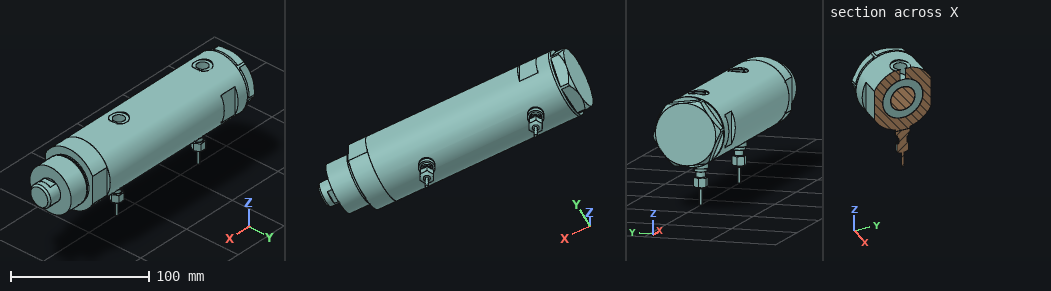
import cadquery as cq
import math


total_length = 209.0
total_height = 84.2
cap_hex_length = 9.2
cap_flange_thickness = 1.7
head_start = 160.7
head_shoulder = 176.6
nose_end = 196.7
barrel_start = cap_hex_length + cap_flange_thickness

outer_radius = 52.0 / 2
bore_radius = 32.0 / 2
head_spigot_radius = 21.5
rod_radius = 19.6 / 2

body_flat_width = 46.0
hex_sides = 6
barrel_flat_start = 21.1
barrel_flat_length = 15.0

cap_spigot_end = 35.0
head_spigot_start = 124.5

cap_chamfer_length = 2.7
cap_hex_turn = 8.0

nose_radius = 20.0
groove_radius = 18.8
groove_length = 1.7
groove_corner_size = 0.6
nose_chamfer_length = 1.0

rod_flat_width = 16.3
rod_flat_length = 6.3
rod_chamfer_length = 1.7
rod_chamfer_depth = 1.5

port_positions = [30.5, 121.9]
port_radius = 9.6 / 2
port_recess_radius = 15.0 / 2
port_recess_depth = 1.0

sensor_positions = [35.1, 124.4]
sensor_seat_z = -27.0
sensor_bottom_z = outer_radius - total_height
collar_radius = 12.0 / 2
collar_length = 3.8
shoulder_radius = 4.5
shoulder_length = 2.5
neck_radius = 7.0 / 2
neck_length = 4.0
nut_flat_width = 9.6
nut_length = 8.8
nut_top_radius = 4.2
nut_bottom_radius = 2.5
nut_chamfer_angle = 30.0
cable_radius = 2.3 / 2


def x_cylinder(radius, start, end):
    """Solid cylinder on the X axis between two X positions."""
    return cq.Workplane("YZ", origin=(start, 0, 0)).circle(radius).extrude(end - start)


def x_revolved(points):
    """Solid of revolution about X from (x, radius) points."""
    return cq.Workplane("XY").polyline(points).close().revolve(360, (0, 0, 0), (1, 0, 0))


def slab(start, end, y_width, z_width):
    """Box centred on the X axis, used to limit a turned shape to two flats."""
    length = end - start
    return cq.Workplane("XY").box(length, y_width, z_width).translate((start + length / 2, 0, 0))


def hex_corner_diameter(flat_width):
    return flat_width / math.cos(math.pi / hex_sides)


def with_flats(body, start, end, y_width, z_width):
    """Cut everything outside a centred slab between two X positions."""
    full_width = 2 * outer_radius
    waste = slab(start, end, full_width, full_width).cut(slab(start, end, y_width, z_width))
    return body.cut(waste)


def make_end_cap():
    """Chamfered hexagon cap with a round flange and a spigot in the barrel bore."""
    hexagon = (
        cq.Workplane("YZ")
        .polygon(hex_sides, hex_corner_diameter(body_flat_width))
        .extrude(cap_hex_length)
        .rotate((0, 0, 0), (1, 0, 0), -cap_hex_turn)
    )
    turned_envelope = x_revolved([
        (0, 0),
        (0, body_flat_width / 2),
        (cap_chamfer_length, outer_radius),
        (cap_hex_length, outer_radius),
        (cap_hex_length, 0),
    ])
    flange = x_cylinder(outer_radius, cap_hex_length, barrel_start)
    spigot = x_cylinder(bore_radius, barrel_start, cap_spigot_end)
    return hexagon.intersect(turned_envelope).union(flange).union(spigot)


def make_barrel():
    """Bored tube with wrench flats, two top ports and two sensor bosses."""
    barrel = x_cylinder(outer_radius, barrel_start, head_start)
    barrel = with_flats(
        barrel, barrel_flat_start, barrel_flat_start + barrel_flat_length, body_flat_width, 2 * outer_radius
    )

    for x in sensor_positions:
        boss = cq.Workplane("XY", origin=(x, 0, sensor_seat_z)).circle(collar_radius).extrude(-sensor_seat_z)
        barrel = barrel.union(boss)

    barrel = barrel.cut(x_cylinder(bore_radius, barrel_start, head_start))
    barrel = barrel.cut(x_cylinder(head_spigot_radius, head_spigot_start, head_start))

    for x in port_positions:
        port = cq.Workplane("XY", origin=(x, 0, 0)).circle(port_radius).extrude(outer_radius)
        recess = (
            cq.Workplane("XY", origin=(x, 0, outer_radius))
            .circle(port_recess_radius)
            .extrude(-port_recess_depth)
        )
        barrel = barrel.cut(port).cut(recess)
    return barrel


def make_head():
    """Rod guide: spigot in the barrel, flatted collar, groove and round nose."""
    groove_end = head_shoulder + groove_length
    head = x_revolved([
        (head_spigot_start, rod_radius),
        (head_spigot_start, head_spigot_radius),
        (head_start, head_spigot_radius),
        (head_start, outer_radius),
        (head_shoulder, outer_radius),
        (head_shoulder, groove_radius + groove_corner_size),
        (head_shoulder + groove_corner_size, groove_radius),
        (groove_end, groove_radius),
        (groove_end + nose_chamfer_length, nose_radius),
        (nose_end, nose_radius),
        (nose_end, rod_radius),
    ])
    return with_flats(head, head_start, head_shoulder, body_flat_width, 2 * outer_radius)


def make_rod():
    """Piston rod with two wrench flats and a chamfered end."""
    rod = x_revolved([
        (cap_spigot_end, 0),
        (cap_spigot_end, rod_radius),
        (total_length - rod_chamfer_length, rod_radius),
        (total_length, rod_radius - rod_chamfer_depth),
        (total_length, 0),
    ])
    return with_flats(rod, nose_end, nose_end + rod_flat_length, 2 * rod_radius, rod_flat_width)


def make_sensor(x):
    """Sensor with a stepped round body, a chamfered hexagon nut and a cable."""
    shoulder_z = sensor_seat_z - collar_length
    neck_z = shoulder_z - shoulder_length
    nut_top_z = neck_z - neck_length
    nut_bottom_z = nut_top_z - nut_length

    def step(radius, top_z, bottom_z):
        return cq.Workplane("XY", origin=(x, 0, top_z)).circle(radius).extrude(bottom_z - top_z)

    corner_diameter = hex_corner_diameter(nut_flat_width)
    corner_radius = corner_diameter / 2
    chamfer_slope = math.tan(math.radians(nut_chamfer_angle))
    top_chamfer = (corner_radius - nut_top_radius) * chamfer_slope
    bottom_chamfer = (corner_radius - nut_bottom_radius) * chamfer_slope
    nut_envelope = (
        cq.Workplane("XZ", origin=(x, 0, 0))
        .moveTo(0, nut_top_z)
        .lineTo(nut_top_radius, nut_top_z)
        .lineTo(corner_radius, nut_top_z - top_chamfer)
        .lineTo(corner_radius, nut_bottom_z + bottom_chamfer)
        .lineTo(nut_bottom_radius, nut_bottom_z)
        .lineTo(0, nut_bottom_z)
        .close()
        .revolve(360, (0, 0, 0), (0, 1, 0))
    )
    nut = (
        cq.Workplane("XY", origin=(x, 0, nut_top_z))
        .polygon(hex_sides, corner_diameter)
        .extrude(-nut_length)
        .intersect(nut_envelope)
    )

    return (
        step(collar_radius, sensor_seat_z, shoulder_z)
        .union(step(shoulder_radius, shoulder_z, neck_z))
        .union(step(neck_radius, neck_z, nut_top_z))
        .union(nut)
        .union(step(cable_radius, nut_bottom_z, sensor_bottom_z))
    )


end_cap = make_end_cap()
barrel = make_barrel()
head = make_head()
rod = make_rod()
sensors = [make_sensor(x) for x in sensor_positions]

result = cq.Compound.makeCompound([
    end_cap.val(),
    barrel.val(),
    head.val(),
    rod.val(),
    *[sensor.val() for sensor in sensors],
])